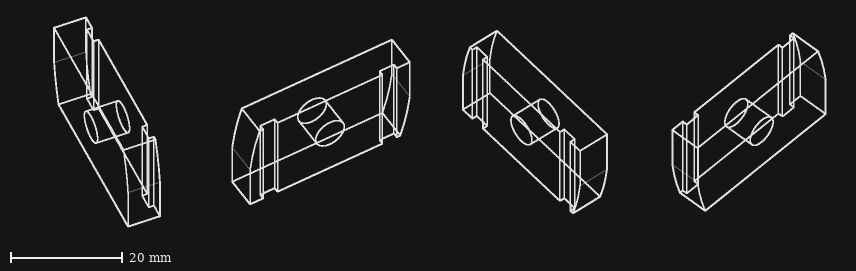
import cadquery as cq
import math

LENGTH = 33.5
THICKNESS = 6.25
HEIGHT = 19.0
CORNER_RELIEF = 2.0
RELIEF_RADIUS = 50.0
HOLE_DIAMETER = 6.0
SLOT_WIDTH = 3.0
SLOT_DEPTH = 1.0
SLOT_SPACING = 25.0

HALF_LENGTH = LENGTH / 2
HALF_HEIGHT = HEIGHT / 2
HALF_THICKNESS = THICKNESS / 2


def relief_midpoint():
    """Middle of the upper right arc, which bulges away from the plate centre."""
    chord = math.hypot(CORNER_RELIEF, HALF_HEIGHT)
    bulge = RELIEF_RADIUS - math.sqrt(RELIEF_RADIUS**2 - (chord / 2) ** 2)
    x = HALF_LENGTH - CORNER_RELIEF / 2 + bulge * HALF_HEIGHT / chord
    z = HALF_HEIGHT / 2 + bulge * CORNER_RELIEF / chord
    return x, z


def make_plate():
    """Plate with arcs on two diagonally opposite corners, centred on the origin."""
    mid_x, mid_z = relief_midpoint()
    arc_end_x = HALF_LENGTH - CORNER_RELIEF
    return (
        cq.Workplane("XZ")
        .moveTo(-HALF_LENGTH, HALF_HEIGHT)
        .lineTo(arc_end_x, HALF_HEIGHT)
        .threePointArc((mid_x, mid_z), (HALF_LENGTH, 0))
        .lineTo(HALF_LENGTH, -HALF_HEIGHT)
        .lineTo(-arc_end_x, -HALF_HEIGHT)
        .threePointArc((-mid_x, -mid_z), (-HALF_LENGTH, 0))
        .close()
        .extrude(HALF_THICKNESS, both=True)
    )


def make_hole():
    """Central hole along Y, through the full thickness."""
    return cq.Workplane("XZ").circle(HOLE_DIAMETER / 2).extrude(HALF_THICKNESS, both=True)


def make_slot(center_x):
    """Slot in the +Y face, running the full height."""
    center_y = HALF_THICKNESS - SLOT_DEPTH / 2
    return cq.Workplane("XY").box(SLOT_WIDTH, SLOT_DEPTH, HEIGHT).translate((center_x, center_y, 0))


result = make_plate().cut(make_hole())
for side in (-1, 1):
    result = result.cut(make_slot(side * SLOT_SPACING / 2))